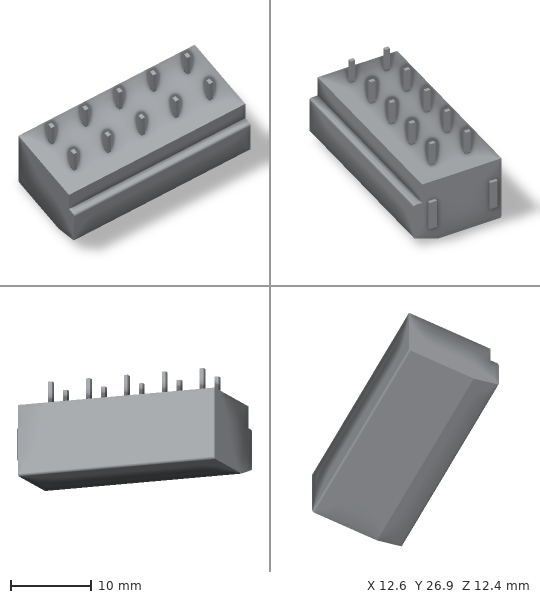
import cadquery as cq

total_length = 26.9

body_width = 11.4
ledge_width = 1.18
total_width = body_width + ledge_width
body_height = 9.1
ledge_height = 6.3
bevel_start = 9.1
bevel_rise = 1.2
edge_radius = 0.3

tab_width = 1.0
tab_depth = 0.48
tab_height = 4.0
tab_inset = 0.83
tab_bottom = 2.25
body_length = total_length - tab_depth

row_count = 5
column_count = 2
row_pitch = 5.08
column_pitch = 5.03
pin_size_x = 0.7
pin_size_y = 0.5
pin_height = 3.3
first_pin_x = 3.12
first_pin_y = 2.88


def make_housing():
    """Extrude the end profile along Y and round three of its long edges."""
    profile = [
        (0, 0),
        (bevel_start, 0),
        (total_width, bevel_rise),
        (total_width, ledge_height),
        (body_width, ledge_height),
        (body_width, body_height),
        (0, body_height),
    ]
    housing = cq.Workplane("XZ").polyline(profile).close().extrude(-body_length)
    ledge_edges = housing.faces(">X").edges("|Y").vals()
    bottom_edge = housing.faces("<X").edges("|Y and <Z").vals()
    return housing.newObject(ledge_edges + bottom_edge).fillet(edge_radius)


def make_pins():
    """Stand a grid of rectangular pins on the top face."""
    centers = [
        (first_pin_x + column * column_pitch, first_pin_y + row * row_pitch)
        for column in range(column_count)
        for row in range(row_count)
    ]
    return (
        cq.Workplane("XY", origin=(0, 0, body_height))
        .pushPoints(centers)
        .rect(pin_size_x, pin_size_y)
        .extrude(pin_height)
    )


def make_tab(left_x):
    """Make one upright tab standing out from the back face."""
    return (
        cq.Workplane("XY")
        .box(tab_width, tab_depth, tab_height, centered=False)
        .translate((left_x, body_length, tab_bottom))
    )


right_tab_x = body_width - tab_inset - tab_width

result = make_housing().union(make_pins())
for tab_x in (tab_inset, right_tab_x):
    result = result.union(make_tab(tab_x))